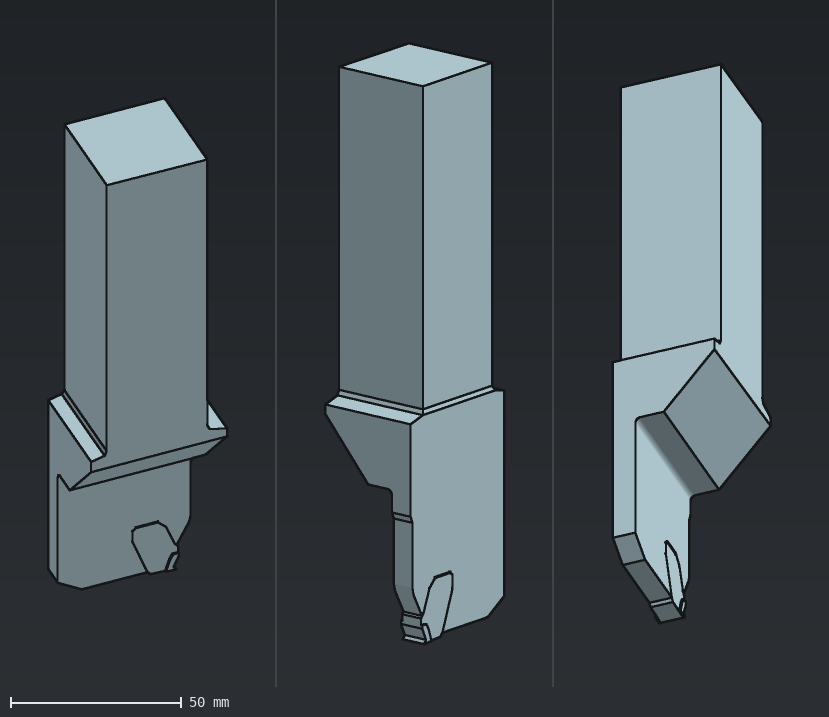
import cadquery as cq

TOTAL_HEIGHT = 170.0
HEAD_DEPTH = 43.2
TOTAL_WIDTH = 33.0

SHANK_FRONT = 5.0
SHANK_SIZE = 32.0
SHANK_BACK = SHANK_FRONT + SHANK_SIZE
SHANK_LEFT = TOTAL_WIDTH - SHANK_SIZE
SHANK_BASE = 71.4
SIDE_TAPER = 0.3

BEVEL_BASE = 69.9
BEVEL_RUN = 0.7
BACK_SHOULDER_Z = 68.3
FRONT_SHOULDER_Z = 68.9

NOSE_OVERHANG = 0.5
NOSE_WIDTH = 8.2
BLADE_LEFT = NOSE_OVERHANG
BLADE_RIGHT = NOSE_WIDTH - NOSE_OVERHANG
BLADE_THICKNESS = BLADE_RIGHT - BLADE_LEFT
BLADE_BOTTOM = 1.4
BLADE_BACK = 42.3
BLADE_TOP = 47.0
BLADE_ROOT_RADIUS = 1.7
GUSSET_BOTTOM_X = 16.7
GUSSET_TOP_Z = 65.5

BACK_STEP_TOP = 40.1
BACK_STEP_BOTTOM = 38.0
BACK_SLOPE_TOP = 18.2
BACK_SLOPE_BREAK = (41.8, 16.0)
FRONT_SLOPE_RUN = 7.7
FRONT_SLOPE_TOP = 6.1

INSERT_TOP = 18.9
INSERT_TOP_FRONT = 24.8
INSERT_TOP_BACK = 32.0
INSERT_FRONT = 23.8
NOSE_BACK = 38.5
NOSE_TOP = 6.0
NOSE_BACK_TOP = 8.0
FRONT_CORNER_TOP = 18.0
FRONT_CORNER_BOTTOM = 14.1
SEAT_GAP = 0.3

INSERT_SEAT_BACK = (37.9, 8.7)
INSERT_SEAT_FRONT = (28.5, BLADE_BOTTOM)
BACK_FLANK_BOTTOM = (37.2, 9.4)
BACK_FLANK_TOP = (34.5, 16.3)
CUTTING_EDGE = (37.5, 0.0)
NOSE_NECK = (36.7, 1.2)
NOSE_FLANK_BOTTOM = (NOSE_BACK, 5.0)
FLOOR_FRONT = (29.4, 0.3)
NOSE_ROOT_TOP = (36.5, NOSE_TOP)
NOSE_ROOT_BREAK = (35.5, 4.3)
NOSE_ROOT_BOTTOM = (34.2, 0.2)


def side_prism(points, left, width):
    """Extrude a closed (y, z) outline along +X, starting at x = left."""
    return cq.Workplane("YZ").workplane(offset=left).polyline(points).close().extrude(width)


def make_side_silhouette():
    """Shank and head as an extrusion of their (y, z) outline."""
    outline = [
        (SHANK_FRONT, TOTAL_HEIGHT),
        (SHANK_FRONT, SHANK_BASE),
        (SHANK_FRONT - BEVEL_RUN, BEVEL_BASE),
        (0, FRONT_SHOULDER_Z),
        (0, FRONT_SLOPE_TOP),
        (FRONT_SLOPE_RUN, BLADE_BOTTOM),
        INSERT_SEAT_FRONT,
        INSERT_SEAT_BACK,
        BACK_SLOPE_BREAK,
        (BLADE_BACK, BACK_SLOPE_TOP),
        (BLADE_BACK, BACK_STEP_BOTTOM),
        (HEAD_DEPTH, BACK_STEP_TOP),
        (HEAD_DEPTH, BACK_SHOULDER_Z),
        (SHANK_BACK + BEVEL_RUN, BEVEL_BASE),
        (SHANK_BACK, SHANK_BASE),
        (SHANK_BACK, TOTAL_HEIGHT),
    ]
    return side_prism(outline, 0, TOTAL_WIDTH)


def make_front_silhouette():
    """Shank, gusset and thin blade as an extrusion of their (x, z) outline."""
    outline = [
        (SHANK_LEFT, TOTAL_HEIGHT),
        (SHANK_LEFT, SHANK_BASE),
        (BLADE_LEFT, BEVEL_BASE),
        (BLADE_LEFT, 0),
        (BLADE_RIGHT, 0),
        (BLADE_RIGHT, BLADE_TOP),
        (GUSSET_BOTTOM_X, BLADE_TOP),
        (TOTAL_WIDTH, GUSSET_TOP_Z),
        (TOTAL_WIDTH, TOTAL_HEIGHT),
    ]
    prism = cq.Workplane("XZ").polyline(outline).close().extrude(-HEAD_DEPTH)
    root_point = (BLADE_RIGHT, HEAD_DEPTH / 2, BLADE_TOP)
    root_edge = cq.selectors.NearestToPointSelector(root_point)
    return prism.edges("|Y").edges(root_edge).fillet(BLADE_ROOT_RADIUS)


def make_taper_limit():
    """Full-height block whose +X side has the slight lean of the tool."""
    plan = [
        (0, 0),
        (TOTAL_WIDTH - SIDE_TAPER, 0),
        (TOTAL_WIDTH, HEAD_DEPTH),
        (0, HEAD_DEPTH),
    ]
    return cq.Workplane("XY").polyline(plan).close().extrude(TOTAL_HEIGHT)


def make_insert():
    """Cutting insert: a leaning shank as thick as the blade, with a wider nose."""
    shank_outline = [
        INSERT_SEAT_BACK,
        BACK_FLANK_BOTTOM,
        BACK_FLANK_TOP,
        (INSERT_TOP_BACK, INSERT_TOP),
        (INSERT_TOP_FRONT, INSERT_TOP),
        (INSERT_FRONT, FRONT_CORNER_TOP),
        (INSERT_FRONT, FRONT_CORNER_BOTTOM),
        INSERT_SEAT_FRONT,
        FLOOR_FRONT,
        CUTTING_EDGE,
        NOSE_NECK,
        NOSE_FLANK_BOTTOM,
        (NOSE_BACK, NOSE_BACK_TOP),
    ]
    nose_outline = [
        (NOSE_BACK, NOSE_TOP),
        NOSE_ROOT_TOP,
        NOSE_ROOT_BREAK,
        NOSE_ROOT_BOTTOM,
        CUTTING_EDGE,
        NOSE_NECK,
        NOSE_FLANK_BOTTOM,
    ]
    insert_shank = side_prism(shank_outline, BLADE_LEFT, BLADE_THICKNESS)
    nose = side_prism(nose_outline, 0, NOSE_WIDTH)
    return insert_shank.union(nose)


def make_seat_gap():
    """Narrow slot left open between the top of the insert and its pocket."""
    outline = [
        (INSERT_TOP_FRONT, INSERT_TOP),
        (INSERT_TOP_BACK, INSERT_TOP),
        (INSERT_TOP_BACK, INSERT_TOP + SEAT_GAP),
        (INSERT_TOP_FRONT, INSERT_TOP + SEAT_GAP),
    ]
    return side_prism(outline, BLADE_LEFT, BLADE_THICKNESS)


def make_holder(insert):
    """Tool holder with a pocket matching the insert."""
    blank = make_side_silhouette().intersect(make_front_silhouette()).intersect(make_taper_limit())
    return blank.cut(insert).cut(make_seat_gap())


insert = make_insert()
holder = make_holder(insert)

result = cq.Compound.makeCompound([holder.solids().val(), insert.solids().val()])